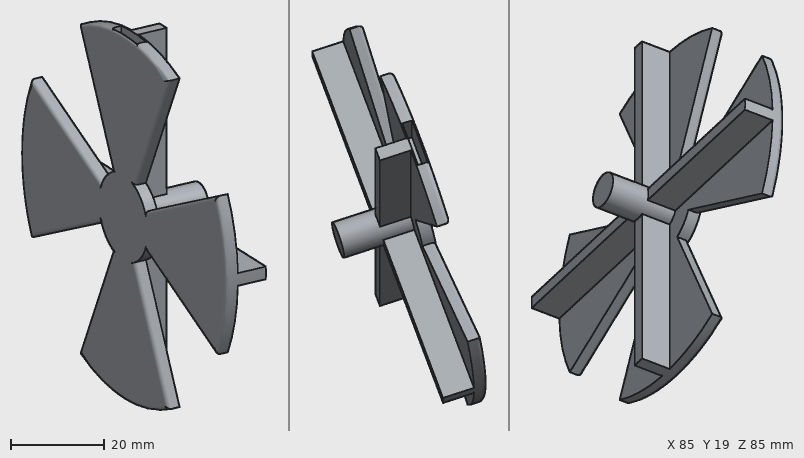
import cadquery as cq
import math

outer_radius = 42.5
plate_thickness = 3.0
blade_count = 4
blade_tip_width = 36.9
blade_root_width = 5.3
blade_root_height = 5.1
edge_round = 1.0
hub_radius = 10.0
shaft_diameter = 8.1
total_depth = 19.0
rib_width = 3.0
rib_back = 10.0
slot_width = 10.2
slot_front = 0.4
slot_back = 2.6
slot_depth = 10.2


def cylinder(radius, length):
    """Cylinder from the front face (Y = 0) toward +Y."""
    return cq.Workplane("XZ").circle(radius).extrude(-length)


def blade():
    """Upward-pointing sector with rounded front edges."""
    side = blade_tip_width / 2
    root = blade_root_width / 2
    height = math.sqrt(outer_radius**2 - side**2)
    sector = (
        cq.Workplane("XZ")
        .moveTo(root, blade_root_height)
        .lineTo(-root, blade_root_height)
        .lineTo(-side, height)
        .threePointArc((0, outer_radius), (side, height))
        .close()
        .extrude(-plate_thickness)
    )
    return sector.faces("<Y").edges().fillet(edge_round)


def rib():
    """Upward-pointing stiffening bar behind a blade, its tip following the rim."""
    side = rib_width / 2
    height = math.sqrt(outer_radius**2 - side**2)
    return (
        cq.Workplane("XZ", origin=(0, plate_thickness, 0))
        .moveTo(side, 0)
        .lineTo(-side, 0)
        .lineTo(-side, height)
        .threePointArc((0, outer_radius), (side, height))
        .close()
        .extrude(plate_thickness - rib_back)
    )


def rim_slot():
    """Rectangular pocket sunk into the rim of the top blade."""
    return cq.Workplane("XY").box(
        slot_width, slot_back - slot_front, slot_depth, centered=(True, False, False)
    ).translate((0, slot_front, outer_radius - slot_depth))


result = cylinder(hub_radius, plate_thickness)
ribbed_blade = blade().union(rib())
for index in range(blade_count):
    angle = index * 360 / blade_count
    result = result.union(ribbed_blade.rotate((0, 0, 0), (0, 1, 0), angle))
result = result.union(cylinder(shaft_diameter / 2, total_depth))
result = result.cut(rim_slot())